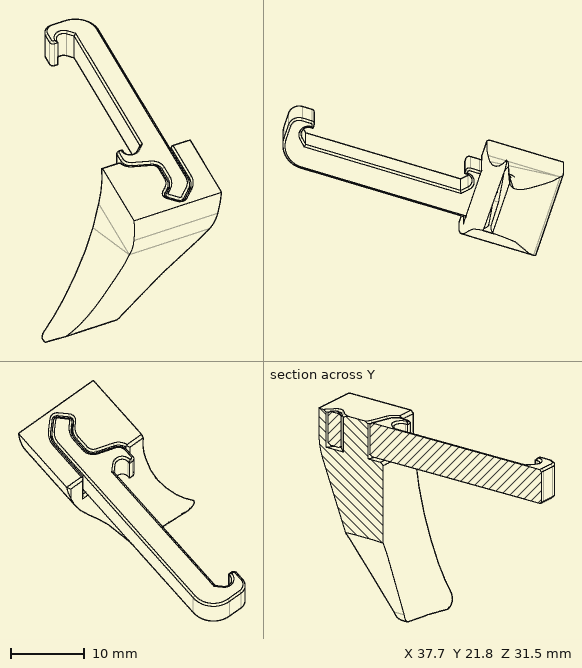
import cadquery as cq
import math


arm_thickness = 5.0
arm_left = -26.8
arm_depth = 7.0
bar_width = 3.5
arm_chamfer = 0.3
back_corner_radius = 3.5
front_corner_radius = 1.5
hook_radius = 1.0
hook_wall = 2.0
hook_spacing = 24.2
tip_overhang = 0.33
tip_radius = 0.5
tip_thickness = 1.0

tail_width = 2.5
tail_bend_x = 7.57
tail_end_offset = 12.43
tail_bend_radius = 2.75
tail_tip_radius = 0.5
leg_top_x = 2.38
leg_angle = 17.8
leg_radius = 1.5

blade_width = 10.9
blade_back = 3.04
blade_front = -9.94
side_bend_start = 3.94
side_bend_radius = 9.0
side_angle = 21.3
break_depth = 11.65
bevel_depth = 31.48
heel_relief_depth = 30.3
heel_relief_width = 0.8
relief_fade_depth = 31.0
relief_fade_width = 0.1
relief_length = 6.6
blade_bottom = 31.6
blade_chamfer = 0.4
blank_margin = 3.0

side_gap = 0.2
floor_gap = 0.4
pocket_chamfer = 0.3


def arm_outline():
    """Sharp outline of the arm seen from above, and the radius for each rounded corner."""
    diagonal = hook_radius * math.sqrt(0.5)
    seat_y = -arm_depth + tip_thickness + hook_radius
    left_seat_x = arm_left + hook_wall + hook_radius
    right_seat_x = arm_left + hook_wall + hook_spacing - hook_radius
    left_tip_x = left_seat_x + tip_overhang
    right_tip_x = right_seat_x - tip_overhang
    run = -bar_width - (seat_y + diagonal)

    finger_inner_x = tail_bend_x - tail_width * math.sqrt(2)
    outer_tip = ((tail_end_offset + tail_bend_x) / 2, (tail_bend_x - tail_end_offset) / 2)
    inner_tip = ((tail_end_offset + finger_inner_x) / 2, (finger_inner_x - tail_end_offset) / 2)
    leg_foot_x = leg_top_x - (arm_depth - tail_width) * math.tan(math.radians(leg_angle))

    outline = (
        cq.Workplane("XY")
        .moveTo(arm_left, 0)
        .lineTo(tail_bend_x, 0)
        .lineTo(*outer_tip)
        .lineTo(*inner_tip)
        .lineTo(finger_inner_x + tail_width, -tail_width)
        .lineTo(leg_top_x, -tail_width)
        .lineTo(leg_foot_x, -arm_depth)
        .lineTo(right_tip_x, -arm_depth)
        .lineTo(right_tip_x, seat_y - hook_radius)
        .lineTo(right_seat_x, seat_y - hook_radius)
        .threePointArc((right_seat_x + hook_radius, seat_y), (right_seat_x + diagonal, seat_y + diagonal))
        .lineTo(right_seat_x + diagonal - run, -bar_width)
        .lineTo(left_seat_x - diagonal + run, -bar_width)
        .lineTo(left_seat_x - diagonal, seat_y + diagonal)
        .threePointArc((left_seat_x - hook_radius, seat_y), (left_seat_x, seat_y - hook_radius))
        .lineTo(left_tip_x, seat_y - hook_radius)
        .lineTo(left_tip_x, -arm_depth)
        .lineTo(arm_left, -arm_depth)
        .close()
    )
    rounded_corners = [
        ((arm_left, 0), back_corner_radius),
        ((arm_left, -arm_depth), front_corner_radius),
        ((left_tip_x, -arm_depth), tip_radius),
        ((right_tip_x, -arm_depth), tip_radius),
        ((leg_foot_x, -arm_depth), leg_radius),
        ((leg_top_x, -tail_width), leg_radius),
        ((finger_inner_x + tail_width, -tail_width), tail_bend_radius),
        ((tail_bend_x, 0), tail_bend_radius),
        (outer_tip, tail_tip_radius),
        (inner_tip, tail_tip_radius),
    ]
    return outline, rounded_corners


def make_arm_blank():
    """Arm with rounded corners but square rims; it also shapes the pocket."""
    outline, rounded_corners = arm_outline()
    blank = outline.extrude(-arm_thickness)
    for (x, y), radius in rounded_corners:
        corner = cq.selectors.NearestToPointSelector((x, y, -arm_thickness / 2))
        blank = blank.edges("|Z").edges(corner).fillet(radius)
    return blank


def make_arm(blank):
    """Arm with its top and bottom rims chamfered."""
    return blank.faces("<Z or >Z").edges().chamfer(arm_chamfer)


slope = math.tan(math.radians(side_angle))
bend_end_x = blade_width - side_bend_radius * (1 - math.cos(math.radians(side_angle)))
bend_end_depth = side_bend_start + side_bend_radius * math.sin(math.radians(side_angle))
bend_mid_x = blade_width - side_bend_radius * (1 - math.cos(math.radians(side_angle / 2)))
bend_mid_depth = side_bend_start + side_bend_radius * math.sin(math.radians(side_angle / 2))

front_top = (blade_back - blade_front, 0)
front_bend_end = (13.42, bend_end_depth)
front_break = (14.27, break_depth)
flat_side_front = [
    front_break,
    (15.57, 16.3),
    (17.3, 21.0),
    (19.43, 25.7),
    (21.4, 29.13),
    (23.0, blade_bottom),
]
outer_side_front = [
    front_bend_end,
    (13.95, 12.6),
    (14.6, 16.2),
    (15.22, 19.8),
    (16.0, 23.4),
    (17.12, 27.0),
    (20.1, blade_bottom),
]

back_curve = [(0, 0), (0.47, 3.5), (1.4, 7.0), (3.39, 11.6), (6.29, 17.45), (8.63, 23.3), (10.85, 29.1)]
heel_middle = (11.4, 30.2)
heel_end = (12.4, 30.72)
sole_end = (16.0, 30.8)
toe_start = (20.7, 31.48)
toe_middle = (21.5, 31.05)
toe_end = (21.82, 30.2)
toe_top = (21.65, 29.6)
front_clearance = (25.0, 29.6)


def side_point(point):
    """Place a (distance from back, depth) pair on the YZ plane."""
    distance, depth = point
    return (blade_back - distance, -depth)


def make_upper_blade():
    """Full width block with a curved front, down to the sloping break line."""
    side_view = (
        cq.Workplane("XZ", origin=(0, blade_back, 0))
        .lineTo(blade_width, 0)
        .lineTo(blade_width, -side_bend_start)
        .threePointArc((bend_mid_x, -bend_mid_depth), (bend_end_x, -bend_end_depth))
        .lineTo(0, -break_depth)
        .close()
        .extrude(front_break[0] + blank_margin)
    )
    front = (
        cq.Workplane("YZ")
        .moveTo(*side_point((0, break_depth)))
        .lineTo(*side_point(front_break))
        .lineTo(*side_point(front_bend_end))
        .tangentArcPoint(side_point(front_top), relative=False)
        .lineTo(*side_point((0, 0)))
        .close()
        .extrude(blade_width)
    )
    return side_view.intersect(front)


def lower_section(front_points, side_x):
    """Closed wire with a curved front and a straight back; side_x gives X at a depth."""
    front = [cq.Vector(side_x(d), blade_back - y, -d) for y, d in front_points]
    top = cq.Vector(front[0].x, blade_back, front[0].z)
    bottom = cq.Vector(front[-1].x, blade_back, front[-1].z)
    return cq.Wire.assembleEdges([
        cq.Edge.makeLine(top, front[0]),
        cq.Edge.makeSpline(front),
        cq.Edge.makeLine(front[-1], bottom),
        cq.Edge.makeLine(bottom, top),
    ])


def make_lower_blade():
    """Twisted wedge between the flat side and the sloping outer side."""
    flat_side = lower_section(flat_side_front, lambda depth: 0)
    outer_side = lower_section(outer_side_front, lambda depth: bend_end_x - slope * (depth - bend_end_depth))
    return cq.Workplane(cq.Solid.makeLoft([flat_side, outer_side], True))


def trim_profile():
    """Region kept behind the back curve and above the rounded lower end."""
    return (
        cq.Workplane("YZ")
        .moveTo(*side_point(back_curve[0]))
        .spline([side_point(p) for p in back_curve[1:]], includeCurrent=True)
        .threePointArc(side_point(heel_middle), side_point(heel_end))
        .lineTo(*side_point(sole_end))
        .lineTo(*side_point(toe_start))
        .threePointArc(side_point(toe_middle), side_point(toe_end))
        .lineTo(*side_point(toe_top))
        .lineTo(*side_point(front_clearance))
        .lineTo(*side_point((front_clearance[0], 0)))
        .close()
        .extrude(blade_width)
    )


def end_bevel():
    """45 degree cut that thins the lower end towards the flat side."""
    size = 2 * blank_margin
    return (
        cq.Workplane("XZ", origin=(0, blade_back, 0))
        .moveTo(0, -bevel_depth)
        .lineTo(size, -bevel_depth + size)
        .lineTo(size, -bevel_depth - size)
        .lineTo(0, -bevel_depth - size)
        .close()
        .extrude(front_clearance[0])
    )


def heel_relief():
    """Shallow slanted cut under the heel on the flat side, fading out towards the toe."""
    heel_section = [(0, -heel_relief_depth), (heel_relief_width, -sole_end[1]), (0, -blade_bottom)]
    faded_section = [(0, -relief_fade_depth), (relief_fade_width, -relief_fade_depth), (0, -blade_bottom)]
    return (
        cq.Workplane("XZ", origin=(0, blade_back - back_curve[-1][0], 0))
        .polyline(heel_section)
        .close()
        .workplane(offset=relief_length)
        .polyline(faded_section)
        .close()
        .loft(ruled=True)
    )


def edge_chamfers():
    """Corner cuts along the top and the back of the flat side."""
    top = (
        cq.Workplane("XZ", origin=(0, blade_back, 0))
        .lineTo(blade_chamfer, 0)
        .lineTo(0, -blade_chamfer)
        .close()
        .extrude(front_top[0] + blank_margin)
    )
    back = (
        cq.Workplane("XY", origin=(0, blade_back, 0))
        .lineTo(blade_chamfer, 0)
        .lineTo(0, -blade_chamfer)
        .close()
        .extrude(-break_depth)
    )
    return top.union(back)


def pocket(arm_blank):
    """Clearance around the arm, flared at the top and where it leaves the flat side."""
    floor_depth = arm_thickness + floor_gap
    rim = arm_blank.faces(">Z").wires().toPending().offset2D(side_gap)
    recess = rim.extrude(-floor_depth)
    flared_rim = arm_blank.faces(">Z").wires().toPending().offset2D(side_gap + pocket_chamfer)
    flare = flared_rim.extrude(-pocket_chamfer, taper=45)
    mouth_width = arm_depth + 2 * side_gap
    mouth = (
        cq.Workplane("YZ")
        .center(-arm_depth / 2, 0)
        .rect(mouth_width + 2 * blade_chamfer, 2 * (floor_depth + blade_chamfer))
        .workplane(offset=blade_chamfer)
        .rect(mouth_width, 2 * floor_depth)
        .loft(ruled=True)
    )
    return recess.union(flare).union(mouth)


def make_blade(arm_blank):
    """Blade trimmed to shape, with the pocket for the tail of the arm."""
    blank = make_upper_blade().union(make_lower_blade())
    blank = blank.intersect(trim_profile())
    blank = blank.cut(end_bevel()).cut(heel_relief()).cut(edge_chamfers())
    return blank.cut(pocket(arm_blank))


arm_blank = make_arm_blank()
arm = make_arm(arm_blank)
blade = make_blade(arm_blank)

result = cq.Compound.makeCompound([arm.solids().val(), blade.solids().val()])